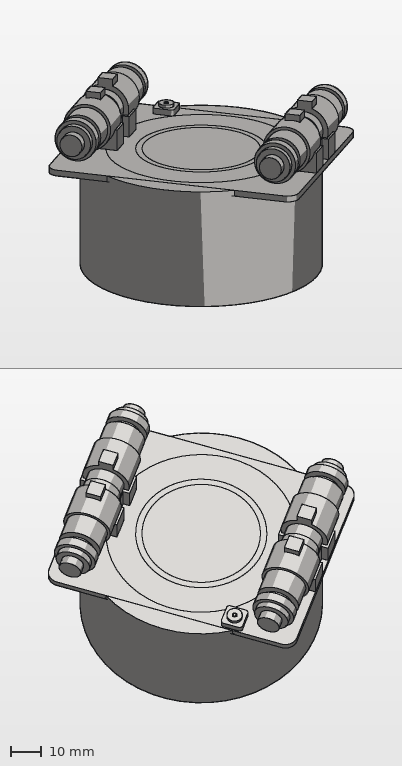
import cadquery as cq

DRUM_DIAMETER = 79.0
DRUM_HEIGHT = 39.95

PLATE_LENGTH = 85.0
PLATE_WIDTH = 66.0
PLATE_THICKNESS = 2.0
PLATE_CORNER_RADIUS = 4.0
PLATE_OPENING_DIAMETER = 62.0

RING_OUTER_DIAMETER = 42.7
RING_INNER_DIAMETER = 38.5
RING_DEPTH = PLATE_THICKNESS

SOCKET_X = -21.1
SOCKET_Y = 28.9
SOCKET_BASE_WIDTH = 7.2
SOCKET_BASE_HEIGHT = 2.0
SOCKET_CORNER_RADIUS = 1.0
SOCKET_COLLAR_DIAMETER = 5.0
SOCKET_COLLAR_HEIGHT = 1.0
SOCKET_BORE_DIAMETER = 1.5
SOCKET_BORE_DEPTH = SOCKET_COLLAR_HEIGHT
SOCKET_CONTACT_DIAMETER = 1.0

COUPLING_X = 34.0
COUPLING_AXIS_Z = 49.0
NECK_DIAMETER = 12.5
FLANGE_DIAMETER = 16.0
BARREL_DIAMETER = 14.0
GROOVE_DIAMETER = 9.5
SHOULDER_DIAMETER = 11.5
TIP_DIAMETER = 7.5

NECK_END = 4.0
FLANGE_END = 15.5
BARREL_END = 22.95
GROOVE_END = 25.0
COLLAR_END = 28.0
SHOULDER_END = 30.0
TIP_END = PLATE_WIDTH / 2

COUPLING_STEPS = [
    (NECK_DIAMETER, NECK_END),
    (FLANGE_DIAMETER, FLANGE_END),
    (BARREL_DIAMETER, BARREL_END),
    (GROOVE_DIAMETER, GROOVE_END),
    (BARREL_DIAMETER, COLLAR_END),
    (SHOULDER_DIAMETER, SHOULDER_END),
    (TIP_DIAMETER, TIP_END),
]

FOOT_WIDTH = 2 * (PLATE_LENGTH / 2 - COUPLING_X)
FOOT_START = 3.0
FOOT_END = 10.0
FOOT_HEIGHT = 7.05

LUG_SIDE = 5.0
LUG_TOP_Z = 59.0


def make_plate():
    plate_bottom = DRUM_HEIGHT - PLATE_THICKNESS
    return (
        cq.Workplane("XY", origin=(0, 0, plate_bottom))
        .rect(PLATE_LENGTH, PLATE_WIDTH)
        .extrude(PLATE_THICKNESS)
        .edges("|Z")
        .fillet(PLATE_CORNER_RADIUS)
        .faces(">Z")
        .workplane()
        .hole(PLATE_OPENING_DIAMETER)
    )


def make_ring():
    return (
        cq.Workplane("XY", origin=(0, 0, DRUM_HEIGHT - RING_DEPTH))
        .circle(RING_OUTER_DIAMETER / 2)
        .circle(RING_INNER_DIAMETER / 2)
        .extrude(RING_DEPTH)
    )


def make_drum(plate, ring):
    """Cylinder with matching recesses for the plate and the ring."""
    drum = cq.Workplane("XY").circle(DRUM_DIAMETER / 2).extrude(DRUM_HEIGHT)
    return drum.cut(plate).cut(ring)


def make_socket():
    """Square base with a round collar and a blind bore around a central contact."""
    body = (
        cq.Workplane("XY", origin=(SOCKET_X, SOCKET_Y, DRUM_HEIGHT))
        .rect(SOCKET_BASE_WIDTH, SOCKET_BASE_WIDTH)
        .extrude(SOCKET_BASE_HEIGHT)
        .edges("|Z")
        .fillet(SOCKET_CORNER_RADIUS)
        .faces(">Z")
        .workplane()
        .circle(SOCKET_COLLAR_DIAMETER / 2)
        .extrude(SOCKET_COLLAR_HEIGHT)
    )
    bore = (
        body.faces(">Z")
        .workplane()
        .circle(SOCKET_BORE_DIAMETER / 2)
        .circle(SOCKET_CONTACT_DIAMETER / 2)
        .extrude(-SOCKET_BORE_DEPTH, combine=False)
    )
    return body.cut(bore)


def make_block(width, y_start, y_end, z_bottom, z_top):
    """Box centred on X = 0 between the given Y and Z limits."""
    return (
        cq.Workplane("XY", origin=(0, (y_start + y_end) / 2, z_bottom))
        .rect(width, y_end - y_start)
        .extrude(z_top - z_bottom)
    )


def make_turned_body():
    """Stepped round body running from Y = 0 towards +Y."""
    outline = [(0, 0)]
    step_start = 0
    for diameter, step_end in COUPLING_STEPS:
        outline.append((diameter / 2, step_start))
        outline.append((diameter / 2, step_end))
        step_start = step_end
    outline.append((0, TIP_END))
    turned = cq.Workplane("XY").polyline(outline).close().revolve(360, (0, 0, 0), (0, 1, 0))
    return turned.translate((0, 0, COUPLING_AXIS_Z))


def make_coupling():
    """One coupling centred on X = 0 with its meeting face at Y = 0."""
    foot_top = DRUM_HEIGHT + FOOT_HEIGHT
    web = make_block(NECK_DIAMETER, 0, FOOT_START, DRUM_HEIGHT, foot_top)
    foot = make_block(FOOT_WIDTH, FOOT_START, FOOT_END, DRUM_HEIGHT, foot_top)
    lug = make_block(LUG_SIDE, NECK_END, NECK_END + LUG_SIDE, COUPLING_AXIS_Z, LUG_TOP_Z)
    return make_turned_body().union(web).union(foot).union(lug)


def make_couplings():
    """Four couplings: a mirrored pair on each side of the drum."""
    back = make_coupling()
    front = back.mirror("XZ")
    couplings = []
    for x in (-COUPLING_X, COUPLING_X):
        for half in (back, front):
            couplings.append(half.translate((x, 0, 0)).val())
    return couplings


plate = make_plate()
ring = make_ring()
drum = make_drum(plate, ring)
socket = make_socket()
couplings = make_couplings()

result = cq.Compound.makeCompound([drum.val(), plate.val(), ring.val(), socket.val(), *couplings])